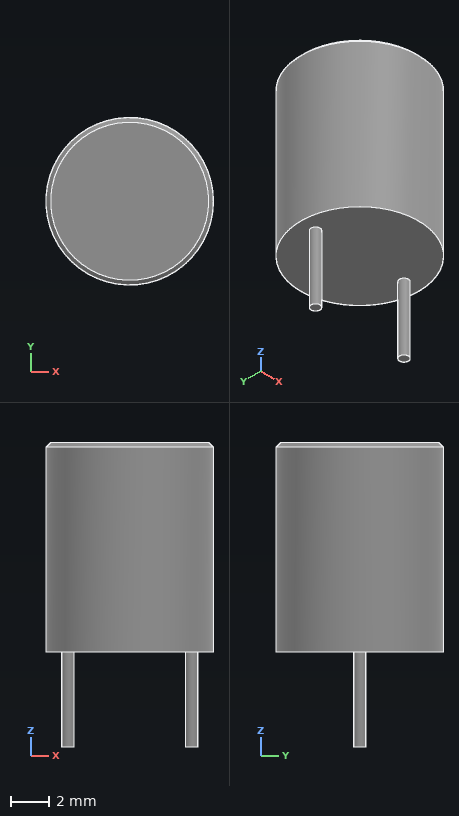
import cadquery as cq

total_height = 16.0
body_diameter = 8.8
pin_length = 5.0
pin_diameter = 0.65
pin_spacing = 6.5
top_chamfer = 0.25

body_height = total_height - pin_length

body = (
    cq.Workplane("XY")
    .circle(body_diameter / 2)
    .extrude(body_height)
    .faces(">Z")
    .edges()
    .chamfer(top_chamfer)
)

pins = (
    cq.Workplane("XY")
    .pushPoints([(-pin_spacing / 2, 0), (pin_spacing / 2, 0)])
    .circle(pin_diameter / 2)
    .extrude(-pin_length)
)

result = body.union(pins)